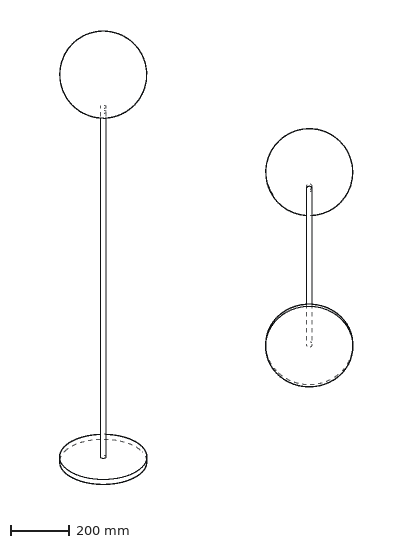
import cadquery as cq

total_height = 1700.0
disc_diameter = 300.0
foot_thickness = 20.0
pole_diameter = 20.0
socket_depth = 20.0

globe_radius = disc_diameter / 2
globe_center_z = total_height - globe_radius
pole_top_z = total_height - disc_diameter + socket_depth


def make_pole():
    """Round pole rising from the top of the foot into the globe."""
    return (
        cq.Workplane("XY")
        .workplane(offset=foot_thickness)
        .circle(pole_diameter / 2)
        .extrude(pole_top_z - foot_thickness)
    )


def make_stand():
    """Disc foot and pole as one solid."""
    foot = cq.Workplane("XY").circle(disc_diameter / 2).extrude(foot_thickness)
    return foot.union(make_pole())


def make_globe():
    """Spherical globe with a blind socket that fits the pole end."""
    ball = cq.Workplane("XY").sphere(globe_radius).translate((0, 0, globe_center_z))
    return ball.cut(make_pole())


stand = make_stand()
globe = make_globe()

result = cq.Compound.makeCompound([stand.solids().val(), globe.solids().val()])